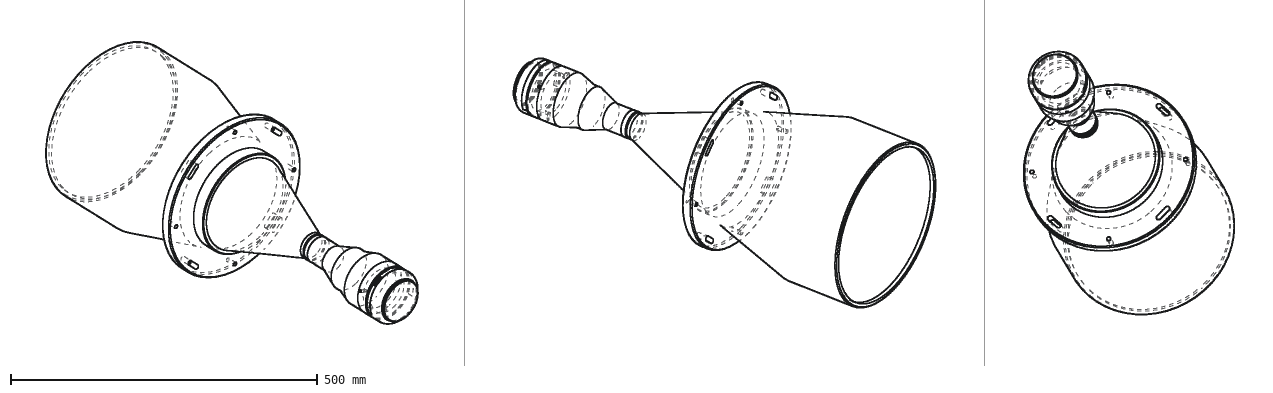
import cadquery as cq
import math

OVERALL_LENGTH = 717.5
AXIS_START = (0, 0, 0)
AXIS_END = (1, 0, 0)

HEAD_RADIUS = 143.15
HEAD_LENGTH = 130.0
EDGE_CHAMFER = 2.0
WINDOW_RADIUS = 135.5
WINDOW_RIM_DEPTH = 7.0
WINDOW_APEX_DEPTH = 1.5

FRONT_CONE_END = 279.0
FRONT_NECK_RADIUS = 100.5
FLANGE_START = 288.5
FLANGE_THICKNESS = 19.0
FLANGE_END = FLANGE_START + FLANGE_THICKNESS
FLANGE_FILLET = 6.5

HOLE_CIRCLE_RADIUS = 128.5
PIN_HOLE_DIAMETER = 6.5
SLOT_WIDTH = 8.0
SLOT_LENGTH = 28.0
HOLES_PER_CIRCLE = 4
HOLE_PITCH = 360 / HOLES_PER_CIRCLE

BOSS_RADIUS = 90.5
BOSS_END = 331.0
BOSS_CHAMFER = 1.5
REAR_CONE_RADIUS = 83.0
REAR_CONE_END = 478.0
REAR_CONE_END_RADIUS = 29.8

NECK_RADIUS = 23.3
NECK_START = 495.0
NECK_GROOVE_START = 501.5
NECK_GROOVE_END = 504.0
NECK_GROOVE_DEPTH = 1.0
NECK_COLLAR_RADIUS = 24.0
NECK_COLLAR_END = 512.0
NECK_END = 549.0

STEP_RADIUS = 38.0
STEP_START = 587.5
STEP_END = 601.0
REAR_RADIUS = 47.0
REAR_BARREL_START = 631.0

MOUNT_START = 664.0
SPIGOT_RADIUS = 36.0
SPIGOT_END = 683.0
MOUNT_GROOVE_START = SPIGOT_END
MOUNT_GROOVE_WIDTH = 2.0
MOUNT_GROOVE_DEPTH = 2.0
RELIEF_START = MOUNT_GROOVE_START + MOUNT_GROOVE_WIDTH
RELIEF_END = 694.0
RELIEF_DEPTH = 0.35
RELIEF_HALF_ANGLE = 114
MOUNT_ROUND_START = 700.0
MOUNT_BODY_END = 712.5
MOUNT_END_RADIUS = 38.0
MOUNT_COLLAR_RADIUS = 36.5
COLLAR_GROOVE_START = 714.0
COLLAR_GROOVE_WIDTH = 1.5
COLLAR_GROOVE_DEPTH = 1.0

MOUNT_SLOT_WIDTH = 4.0
MOUNT_SLOT_LENGTH = 17.0
MOUNT_SLOT_DEPTH = 3.5
MOUNT_SLOT_ANGLE = 36

SCREW_COUNT = 3
SCREW_DIAMETER = 4.0
SCREW_SETBACK = 3.5
SCREW_STATION = MOUNT_START + SCREW_SETBACK
FIRST_SCREW_ANGLE = 72
SCREW_PITCH = 360 / SCREW_COUNT
SCREW_RECESS = 1.0


def turned(profile):
    """Revolve an XY profile a full turn about the X axis."""
    return profile.close().revolve(360, AXIS_START, AXIS_END)


def disc(start, length, radius):
    """Round disc centred on the X axis."""
    return cq.Workplane("YZ", origin=(start, 0, 0)).circle(radius).extrude(length)


def outer_groove(start, width, depth, surface_radius):
    """Ring-shaped cutter that sinks a groove into a round surface."""
    return disc(start, width, surface_radius).cut(disc(start, width, surface_radius - depth))


def around_axis(shape, angle):
    """Turn a shape about the X axis, from +Z toward -Y."""
    return shape.rotate(AXIS_START, AXIS_END, angle)


def window_dome_point():
    """Point halfway out on the spherical window face."""
    sag = WINDOW_RIM_DEPTH - WINDOW_APEX_DEPTH
    sphere_radius = (WINDOW_RADIUS**2 + sag**2) / (2 * sag)
    half_radius = WINDOW_RADIUS / 2
    depth = WINDOW_APEX_DEPTH + sphere_radius - math.sqrt(sphere_radius**2 - half_radius**2)
    return depth, half_radius


def housing_profile():
    fillet_offset = FLANGE_FILLET * (1 - math.sqrt(0.5))
    return (
        cq.Workplane("XY")
        .moveTo(WINDOW_APEX_DEPTH, 0)
        .threePointArc(window_dome_point(), (WINDOW_RIM_DEPTH, WINDOW_RADIUS))
        .lineTo(0, WINDOW_RADIUS)
        .lineTo(0, HEAD_RADIUS - EDGE_CHAMFER)
        .lineTo(EDGE_CHAMFER, HEAD_RADIUS)
        .lineTo(HEAD_LENGTH, HEAD_RADIUS)
        .lineTo(FRONT_CONE_END, FRONT_NECK_RADIUS)
        .lineTo(FLANGE_START - FLANGE_FILLET, FRONT_NECK_RADIUS)
        .threePointArc(
            (FLANGE_START - fillet_offset, FRONT_NECK_RADIUS + fillet_offset),
            (FLANGE_START, FRONT_NECK_RADIUS + FLANGE_FILLET),
        )
        .lineTo(FLANGE_START, HEAD_RADIUS - EDGE_CHAMFER)
        .lineTo(FLANGE_START + EDGE_CHAMFER, HEAD_RADIUS)
        .lineTo(FLANGE_END - EDGE_CHAMFER, HEAD_RADIUS)
        .lineTo(FLANGE_END, HEAD_RADIUS - EDGE_CHAMFER)
        .lineTo(FLANGE_END, BOSS_RADIUS)
        .lineTo(BOSS_END - BOSS_CHAMFER, BOSS_RADIUS)
        .lineTo(BOSS_END, BOSS_RADIUS - BOSS_CHAMFER)
        .lineTo(BOSS_END, REAR_CONE_RADIUS)
        .lineTo(REAR_CONE_END, REAR_CONE_END_RADIUS)
        .lineTo(NECK_START, NECK_RADIUS)
        .lineTo(NECK_GROOVE_START, NECK_RADIUS)
        .lineTo(NECK_GROOVE_START, NECK_RADIUS - NECK_GROOVE_DEPTH)
        .lineTo(NECK_GROOVE_END, NECK_RADIUS - NECK_GROOVE_DEPTH)
        .lineTo(NECK_GROOVE_END, NECK_COLLAR_RADIUS)
        .lineTo(NECK_COLLAR_END, NECK_COLLAR_RADIUS)
        .lineTo(NECK_COLLAR_END, NECK_RADIUS)
        .lineTo(NECK_END, NECK_RADIUS)
        .lineTo(STEP_START, STEP_RADIUS)
        .lineTo(STEP_END, STEP_RADIUS)
        .lineTo(REAR_BARREL_START, REAR_RADIUS)
        .lineTo(MOUNT_START, REAR_RADIUS)
        .lineTo(MOUNT_START, SPIGOT_RADIUS)
        .lineTo(SPIGOT_END, SPIGOT_RADIUS)
        .lineTo(SPIGOT_END, 0)
    )


def flange_holes():
    """Pin holes on the Y and Z axes, and tangential slots midway between them."""
    plane = cq.Workplane("YZ", origin=(FLANGE_START, 0, 0)).center(0, HOLE_CIRCLE_RADIUS)
    pin_hole = plane.circle(PIN_HOLE_DIAMETER / 2).extrude(FLANGE_THICKNESS)
    slot = plane.slot2D(SLOT_LENGTH, SLOT_WIDTH).extrude(FLANGE_THICKNESS)
    cutters = []
    for index in range(HOLES_PER_CIRCLE):
        cutters.append(around_axis(pin_hole, index * HOLE_PITCH))
        cutters.append(around_axis(slot, (index + 0.5) * HOLE_PITCH))
    return cutters


def make_housing():
    housing = turned(housing_profile())
    for cutter in flange_holes():
        housing = housing.cut(cutter)
    return housing


def screw_cylinder(index, outer_radius):
    """Radial cylinder from the spigot surface out to the given radius."""
    cylinder = (
        cq.Workplane("XY", origin=(SCREW_STATION, 0, SPIGOT_RADIUS))
        .circle(SCREW_DIAMETER / 2)
        .extrude(outer_radius - SPIGOT_RADIUS)
    )
    spigot = disc(MOUNT_START, SPIGOT_END - MOUNT_START, SPIGOT_RADIUS)
    return around_axis(cylinder.cut(spigot), FIRST_SCREW_ANGLE + index * SCREW_PITCH)


def relief_band():
    """Shallow band over the upper part of the mount."""
    inner_radius = REAR_RADIUS - RELIEF_DEPTH
    band = (
        cq.Workplane("XY")
        .moveTo(RELIEF_START, inner_radius)
        .lineTo(RELIEF_END, inner_radius)
        .lineTo(RELIEF_END, REAR_RADIUS)
        .lineTo(RELIEF_START, REAR_RADIUS)
        .close()
        .revolve(2 * RELIEF_HALF_ANGLE, AXIS_START, AXIS_END)
    )
    return around_axis(band, 90 - RELIEF_HALF_ANGLE)


def mount_slot():
    """Round-ended window slot sunk radially into the mount."""
    slot = (
        cq.Workplane("XY", origin=((RELIEF_START + RELIEF_END) / 2, 0, REAR_RADIUS - MOUNT_SLOT_DEPTH))
        .slot2D(MOUNT_SLOT_LENGTH, MOUNT_SLOT_WIDTH, 90)
        .extrude(2 * MOUNT_SLOT_DEPTH)
    )
    return around_axis(slot, MOUNT_SLOT_ANGLE)


def make_mount():
    mount = turned(
        cq.Workplane("XY")
        .moveTo(SPIGOT_END, 0)
        .lineTo(SPIGOT_END, SPIGOT_RADIUS)
        .lineTo(MOUNT_START, SPIGOT_RADIUS)
        .lineTo(MOUNT_START, REAR_RADIUS)
        .lineTo(MOUNT_ROUND_START, REAR_RADIUS)
        .tangentArcPoint((MOUNT_BODY_END, MOUNT_END_RADIUS), relative=False)
        .lineTo(MOUNT_BODY_END, MOUNT_COLLAR_RADIUS)
        .lineTo(OVERALL_LENGTH, MOUNT_COLLAR_RADIUS)
        .lineTo(OVERALL_LENGTH, 0)
    )
    mount = mount.cut(
        outer_groove(MOUNT_GROOVE_START, MOUNT_GROOVE_WIDTH, MOUNT_GROOVE_DEPTH, REAR_RADIUS)
    )
    mount = mount.cut(
        outer_groove(COLLAR_GROOVE_START, COLLAR_GROOVE_WIDTH, COLLAR_GROOVE_DEPTH, MOUNT_COLLAR_RADIUS)
    )
    mount = mount.cut(relief_band()).cut(mount_slot())
    for index in range(SCREW_COUNT):
        mount = mount.cut(screw_cylinder(index, 2 * REAR_RADIUS))
    return mount


def make_set_screw(index):
    return screw_cylinder(index, REAR_RADIUS - SCREW_RECESS)


housing = make_housing()
mount = make_mount()
set_screws = [make_set_screw(index) for index in range(SCREW_COUNT)]

result = cq.Compound.makeCompound(
    [housing.val(), mount.val(), *[screw.val() for screw in set_screws]]
)